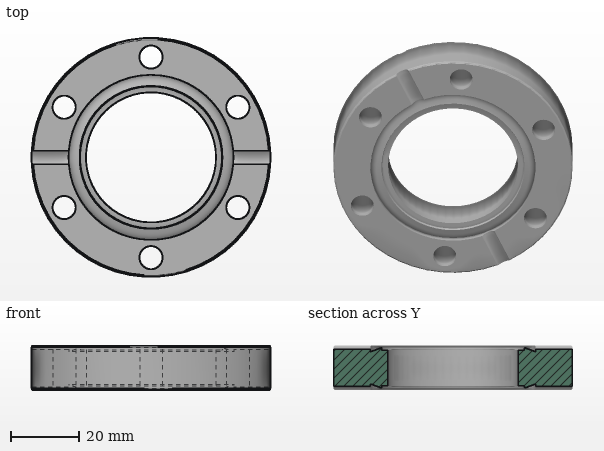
import cadquery as cq
import math

OUTER_DIAMETER = 70.0
THICKNESS = 13.0
BORE_DIAMETER = 38.0
RIM_FILLET = 0.5

RECESS_DIAMETER = 48.3
RECESS_DEPTH = 1.7
KNIFE_DIAMETER = 41.9
KNIFE_SLOPE_ANGLE = 20.0
INNER_LEDGE_DIAMETER = 41.5
INNER_LEDGE_DEPTH = 1.2

BOLT_COUNT = 6
BOLT_CIRCLE_DIAMETER = 58.7
BOLT_HOLE_DIAMETER = 6.7
FIRST_BOLT_ANGLE = 90.0

GROOVE_WIDTH = 4.0
GROOVE_DEPTH = 1.0

FACE_HEIGHT = THICKNESS / 2
RECESS_RADIUS = RECESS_DIAMETER / 2
KNIFE_RADIUS = KNIFE_DIAMETER / 2


def lower_plane():
    """Workplane on the lower face of the flange."""
    return cq.Workplane("XY").workplane(offset=-FACE_HEIGHT)


def make_body():
    """Disc with rounded rims with the bore through it."""
    disc = lower_plane().circle(OUTER_DIAMETER / 2).extrude(THICKNESS)
    disc = disc.faces("<Z or >Z").edges().fillet(RIM_FILLET)
    bore = lower_plane().circle(BORE_DIAMETER / 2).extrude(THICKNESS)
    return disc.cut(bore)


def make_recess():
    """Material removed around the knife edge of the upper face."""
    floor_height = FACE_HEIGHT - RECESS_DEPTH
    knife_rise = (RECESS_RADIUS - KNIFE_RADIUS) * math.tan(math.radians(KNIFE_SLOPE_ANGLE))
    ledge_height = FACE_HEIGHT - INNER_LEDGE_DEPTH
    profile = (
        cq.Workplane("XZ")
        .moveTo(0, FACE_HEIGHT)
        .lineTo(RECESS_RADIUS, FACE_HEIGHT)
        .lineTo(RECESS_RADIUS, floor_height)
        .lineTo(KNIFE_RADIUS, floor_height + knife_rise)
        .lineTo(INNER_LEDGE_DIAMETER / 2, ledge_height)
        .lineTo(0, ledge_height)
        .close()
    )
    return profile.revolve(360, (0, 0, 0), (0, 1, 0))


def make_groove():
    """Round-bottomed groove across the full width of the upper face, outside the recess."""
    groove_radius = (GROOVE_WIDTH**2 / 4 + GROOVE_DEPTH**2) / (2 * GROOVE_DEPTH)
    axis_height = FACE_HEIGHT - GROOVE_DEPTH + groove_radius
    bar = (
        cq.Workplane("YZ")
        .center(0, axis_height)
        .circle(groove_radius)
        .extrude(OUTER_DIAMETER / 2, both=True)
    )
    recess_area = cq.Workplane("XY").circle(RECESS_RADIUS).extrude(THICKNESS)
    return bar.cut(recess_area)


def make_bolt_holes():
    """Plain through holes evenly spaced on the bolt circle."""
    return (
        lower_plane()
        .polarArray(BOLT_CIRCLE_DIAMETER / 2, FIRST_BOLT_ANGLE, 360, BOLT_COUNT)
        .circle(BOLT_HOLE_DIAMETER / 2)
        .extrude(THICKNESS)
    )


result = make_body().cut(make_bolt_holes())
for face_cut in (make_recess(), make_groove()):
    result = result.cut(face_cut).cut(face_cut.mirror("XY"))